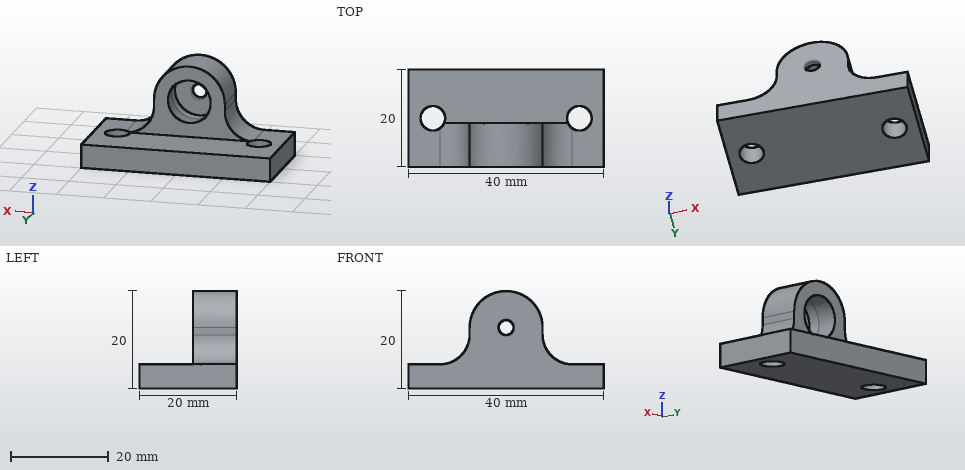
import cadquery as cq

base_length = 40.0
base_width = 20.0
base_height = 5.0
mount_hole_diameter = 5.0
mount_hole_spacing = 30.0

lug_thickness = 9.0
lug_radius = 7.5
total_height = 20.0
fillet_radius = 6.0

bore_diameter = 3.0
bore_rounding = 0.25
front_wall = 1.25

pocket_diameter = 10.15
pocket_mouth_diameter = 9.04
taper_start = 3.9

front_y = -base_width / 2
bore_z = total_height - lug_radius
fillet_top_z = base_height + fillet_radius
lug_foot_x = lug_radius + fillet_radius


def make_base():
    return cq.Workplane("XY").box(base_length, base_width, base_height, centered=(True, True, False))


def make_lug():
    """Round-topped lug whose sides flare into the base through concave arcs."""
    return (
        cq.Workplane("XZ", origin=(0, front_y, 0))
        .moveTo(-lug_foot_x, 0)
        .lineTo(-lug_foot_x, base_height)
        .radiusArc((-lug_radius, fillet_top_z), -fillet_radius)
        .lineTo(-lug_radius, bore_z)
        .threePointArc((0, total_height), (lug_radius, bore_z))
        .lineTo(lug_radius, fillet_top_z)
        .radiusArc((lug_foot_x, base_height), -fillet_radius)
        .lineTo(lug_foot_x, 0)
        .close()
        .extrude(-lug_thickness)
    )


def make_mount_holes():
    """Vertical cutters; they also clip the feet of the lug."""
    half_spacing = mount_hole_spacing / 2
    return (
        cq.Workplane("XY")
        .pushPoints([(-half_spacing, 0), (half_spacing, 0)])
        .circle(mount_hole_diameter / 2)
        .extrude(total_height)
    )


def make_bore_and_pocket():
    """Revolved cutter for the rounded bore and the tapered pocket behind it."""
    bore_radius = bore_diameter / 2
    rounded_radius = bore_radius + bore_rounding
    pocket_radius = pocket_diameter / 2
    profile = (
        cq.Workplane("YZ", origin=(0, front_y, bore_z))
        .lineTo(0, rounded_radius)
        .radiusArc((bore_rounding, bore_radius), -bore_rounding)
        .lineTo(front_wall - bore_rounding, bore_radius)
        .radiusArc((front_wall, rounded_radius), -bore_rounding)
        .lineTo(front_wall, pocket_radius)
        .lineTo(taper_start, pocket_radius)
        .lineTo(lug_thickness, pocket_mouth_diameter / 2)
        .lineTo(lug_thickness, 0)
        .close()
    )
    return profile.revolve(360, (0, 0, 0), (1, 0, 0))


result = make_base().union(make_lug()).cut(make_mount_holes()).cut(make_bore_and_pocket())